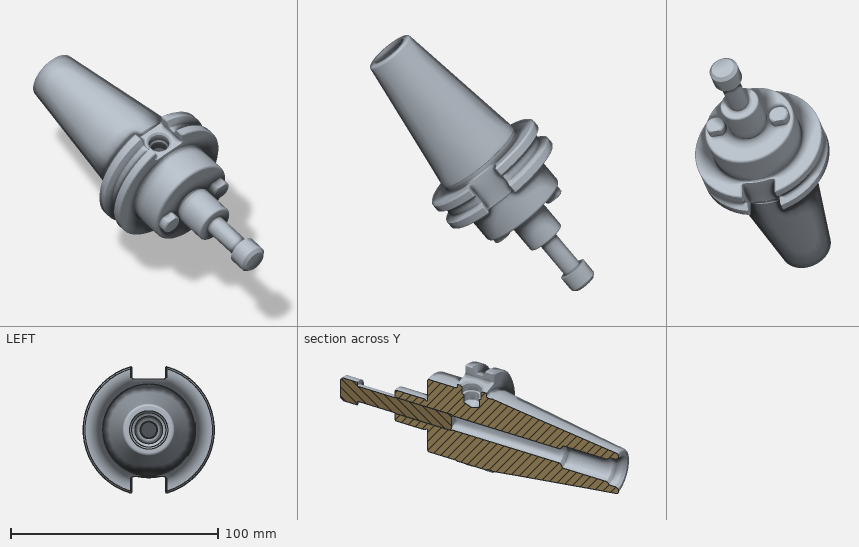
import cadquery as cq
import math

OVERALL_LENGTH = 150.3

GAUGE_X = 68.2
GAUGE_DIAMETER = 44.5
TAPER_RATIO = 7 / 24
SMALL_END_DIAMETER = GAUGE_DIAMETER - TAPER_RATIO * GAUGE_X
SMALL_END_ROUND = 1.4
NECK_DIAMETER = 43.9
NECK_STEP = (GAUGE_DIAMETER - NECK_DIAMETER) / 2

FLANGE_REAR_X = 71.2
FLANGE_WIDTH = 15.8
FLANGE_FRONT_X = FLANGE_REAR_X + FLANGE_WIDTH
FLANGE_DIAMETER = 63.4
FLANGE_REAR_CHAMFER = 0.9
FLANGE_FRONT_CHAMFER = 0.5
FLANGE_REAR_FILLET = 0.8
FLANGE_FRONT_FILLET = 0.9
GROOVE_X = 79.3
GROOVE_FLOOR_DIAMETER = 56.5
GROOVE_FLOOR_WIDTH = 3.8
GROOVE_MOUTH_WIDTH = 7.4

SLOT_WIDTH = 16.2
UPPER_SLOT_FLOOR_Z = 24.6
LOWER_SLOT_FLOOR_Z = -22.5
SLOT_EDGE_CHAMFER = 0.6
SLOT_FLARE = 2.3
SLOT_FLOOR_FILLET = 0.8

SLOT_HOLE_MOUTH_DIAMETER = 11.9
SLOT_HOLE_DIAMETER = 10.0
SLOT_HOLE_DEPTH = 5.0
SLOT_DRILL_DIAMETER = 8.0
SLOT_DRILL_DEPTH = 9.9
SLOT_DRILL_POINT_ANGLE = 135.0

BODY_DIAMETER = 44.5
BODY_FRONT_X = 103.2
BODY_ROUND = 1.2
PILOT_DIAMETER = 19.1
PILOT_FRONT_X = 120.8
PILOT_ROUND = 0.9
RELIEF_DIAMETER = 17.6
RELIEF_WIDTH = 0.8
RELIEF_DEPTH = (PILOT_DIAMETER - RELIEF_DIAMETER) / 2

BORE_MOUTH_DIAMETER = 18.5
BORE_MOUTH_DEPTH = 1.7
BORE_DIAMETER = 16.5
BORE_DEPTH = 4.8
BORE_DRILL_DIAMETER = 13.4
BORE_DRILL_DEPTH = 30.0
BORE_DRILL_POINT_ANGLE = 118.0
THROUGH_HOLE_DIAMETER = 8.4

SCREW_DIAMETER = 9.5
SCREW_TIP_X = 90.2
SCREW_TIP_DIAMETER = 7.7
SCREW_HEAD_DIAMETER = 14.1
SCREW_HEAD_LENGTH = 9.5
SCREW_HEAD_END_DIAMETER = 11.0

PIN_DIAMETER = 9.5
PIN_FLAT_WIDTH = 8.0
PIN_HEIGHT = 4.4
PIN_CHAMFER = 0.6
PIN_OFFSET_Y = 15.8

EDGE_TOLERANCE = 0.08


def cone_length(large_diameter, small_diameter, included_angle):
    """Length of a cone between two diameters."""
    return (large_diameter - small_diameter) / 2 / math.tan(math.radians(included_angle / 2))


def turned(points):
    """Solid of revolution about X from (x, diameter) points, closed along the axis."""
    first_x = points[0][0]
    last_x = points[-1][0]
    outline = [(first_x, 0)] + [(x, diameter / 2) for x, diameter in points]
    if points[-1][1] > 0:
        outline.append((last_x, 0))
    return cq.Workplane("XY").polyline(outline).close().revolve(360, (0, 0), (1, 0))


def ring_at(x, diameter):
    """Selector for the one circular edge of this diameter at x, centred on the axis."""
    near = diameter / 2 - EDGE_TOLERANCE
    far = diameter / 2 + EDGE_TOLERANCE
    rear_x = x - EDGE_TOLERANCE
    front_x = x + EDGE_TOLERANCE
    outer = cq.selectors.BoxSelector((rear_x, -far, -far), (front_x, far, far), boundingbox=True)
    inner = cq.selectors.BoxSelector((rear_x, -near, -near), (front_x, near, near), boundingbox=True)
    return outer - inner


def make_turned_holder():
    """Outside of the holder: taper, neck, grooved flange, body and pilot."""
    half_mouth = GROOVE_MOUTH_WIDTH / 2
    half_floor = GROOVE_FLOOR_WIDTH / 2
    holder = turned([
        (0, SMALL_END_DIAMETER),
        (GAUGE_X, GAUGE_DIAMETER),
        (GAUGE_X + NECK_STEP, NECK_DIAMETER),
        (FLANGE_REAR_X, NECK_DIAMETER),
        (FLANGE_REAR_X, FLANGE_DIAMETER - 2 * FLANGE_REAR_CHAMFER),
        (FLANGE_REAR_X + FLANGE_REAR_CHAMFER, FLANGE_DIAMETER),
        (GROOVE_X - half_mouth, FLANGE_DIAMETER),
        (GROOVE_X - half_floor, GROOVE_FLOOR_DIAMETER),
        (GROOVE_X + half_floor, GROOVE_FLOOR_DIAMETER),
        (GROOVE_X + half_mouth, FLANGE_DIAMETER),
        (FLANGE_FRONT_X - FLANGE_FRONT_CHAMFER, FLANGE_DIAMETER),
        (FLANGE_FRONT_X, FLANGE_DIAMETER - 2 * FLANGE_FRONT_CHAMFER),
        (FLANGE_FRONT_X, BODY_DIAMETER),
        (BODY_FRONT_X, BODY_DIAMETER),
        (BODY_FRONT_X, RELIEF_DIAMETER),
        (BODY_FRONT_X + RELIEF_WIDTH, RELIEF_DIAMETER),
        (BODY_FRONT_X + RELIEF_WIDTH + RELIEF_DEPTH, PILOT_DIAMETER),
        (PILOT_FRONT_X, PILOT_DIAMETER),
    ])
    holder = holder.edges(ring_at(0, SMALL_END_DIAMETER)).fillet(SMALL_END_ROUND)
    holder = holder.edges(ring_at(FLANGE_REAR_X, NECK_DIAMETER)).fillet(FLANGE_REAR_FILLET)
    holder = holder.edges(ring_at(FLANGE_FRONT_X, BODY_DIAMETER)).fillet(FLANGE_FRONT_FILLET)
    holder = holder.edges(ring_at(BODY_FRONT_X, BODY_DIAMETER)).fillet(BODY_ROUND)
    return holder.edges(ring_at(PILOT_FRONT_X, PILOT_DIAMETER)).fillet(PILOT_ROUND)


def flared_outline(plane, base, flare_start):
    """Symmetric slot outline: straight walls from base to flare_start, then opening out at 45 degrees."""
    half_width = SLOT_WIDTH / 2
    right_side = [
        (half_width, base),
        (half_width, flare_start),
        (half_width + SLOT_FLARE, flare_start + SLOT_FLARE),
    ]
    left_side = [(-across, along) for across, along in reversed(right_side)]
    return cq.Workplane(plane).polyline(right_side + left_side).close()


def make_drive_slot(floor_z):
    """Cutter for one slot: filleted floor corners and chamfered rim and end edges."""
    floor_height = abs(floor_z)
    rim_z = math.sqrt((FLANGE_DIAMETER / 2) ** 2 - (SLOT_WIDTH / 2) ** 2)
    slot = (
        flared_outline("YZ", floor_height, rim_z - SLOT_EDGE_CHAMFER)
        .extrude(FLANGE_WIDTH)
        .edges("|X and <Z")
        .fillet(SLOT_FLOOR_FILLET)
        .translate((FLANGE_REAR_X, 0, 0))
    )
    middle_x = FLANGE_REAR_X + FLANGE_WIDTH / 2
    wall_base_z = floor_height + SLOT_FLOOR_FILLET
    end_flare = (
        flared_outline("XY", 0, FLANGE_WIDTH / 2 - SLOT_EDGE_CHAMFER)
        .extrude(FLANGE_DIAMETER / 2 - wall_base_z)
        .translate((0, 0, wall_base_z))
    )
    for turn in (-90, 90):
        slot = slot.union(end_flare.rotate((0, 0, 0), (0, 0, 1), turn).translate((middle_x, 0, 0)))
    return slot if floor_z > 0 else slot.rotate((0, 0, 0), (1, 0, 0), 180)


def make_slot_hole():
    """Cutter for the stepped hole that runs down from the upper slot floor."""
    mouth_depth = (SLOT_HOLE_MOUTH_DIAMETER - SLOT_HOLE_DIAMETER) / 2
    point_length = cone_length(SLOT_DRILL_DIAMETER, 0, SLOT_DRILL_POINT_ANGLE)
    cutter = turned([
        (0, SLOT_HOLE_MOUTH_DIAMETER),
        (mouth_depth, SLOT_HOLE_DIAMETER),
        (SLOT_HOLE_DEPTH, SLOT_HOLE_DIAMETER),
        (SLOT_HOLE_DEPTH, SLOT_DRILL_DIAMETER),
        (SLOT_DRILL_DEPTH, SLOT_DRILL_DIAMETER),
        (SLOT_DRILL_DEPTH + point_length, 0),
    ])
    return cutter.rotate((0, 0, 0), (0, 1, 0), 90).translate((GROOVE_X, 0, UPPER_SLOT_FLOOR_Z))


def make_bore():
    """Cutter for the rear bore, the through hole and the screw hole."""
    step_length = (BORE_DIAMETER - BORE_DRILL_DIAMETER) / 2
    point_length = cone_length(BORE_DRILL_DIAMETER, THROUGH_HOLE_DIAMETER, BORE_DRILL_POINT_ANGLE)
    return turned([
        (0, BORE_MOUTH_DIAMETER),
        (BORE_MOUTH_DEPTH, BORE_DIAMETER),
        (BORE_DEPTH, BORE_DIAMETER),
        (BORE_DEPTH + step_length, BORE_DRILL_DIAMETER),
        (BORE_DRILL_DEPTH, BORE_DRILL_DIAMETER),
        (BORE_DRILL_DEPTH + point_length, THROUGH_HOLE_DIAMETER),
        (SCREW_TIP_X, THROUGH_HOLE_DIAMETER),
        (SCREW_TIP_X, SCREW_DIAMETER),
        (PILOT_FRONT_X, SCREW_DIAMETER),
    ])


def make_holder():
    """Turned holder with its two drive slots, slot hole and bore."""
    holder = make_turned_holder()
    for floor_z in (UPPER_SLOT_FLOOR_Z, LOWER_SLOT_FLOOR_Z):
        holder = holder.cut(make_drive_slot(floor_z))
    return holder.cut(make_slot_hole()).cut(make_bore())


def make_screw():
    """Clamp screw with a chamfered tip and a chamfered cylindrical head."""
    tip_chamfer = (SCREW_DIAMETER - SCREW_TIP_DIAMETER) / 2
    head_chamfer = (SCREW_HEAD_DIAMETER - SCREW_HEAD_END_DIAMETER) / 2
    head_x = OVERALL_LENGTH - SCREW_HEAD_LENGTH
    return turned([
        (SCREW_TIP_X, SCREW_TIP_DIAMETER),
        (SCREW_TIP_X + tip_chamfer, SCREW_DIAMETER),
        (head_x, SCREW_DIAMETER),
        (head_x, SCREW_HEAD_DIAMETER),
        (OVERALL_LENGTH - head_chamfer, SCREW_HEAD_DIAMETER),
        (OVERALL_LENGTH, SCREW_HEAD_END_DIAMETER),
    ])


def make_drive_pin(y):
    """Chamfered round head, narrowed in Z by two flats."""
    head = turned([
        (0, PIN_DIAMETER),
        (PIN_HEIGHT - PIN_CHAMFER, PIN_DIAMETER),
        (PIN_HEIGHT, PIN_DIAMETER - 2 * PIN_CHAMFER),
    ])
    between_flats = cq.Workplane("XY").box(2 * PIN_HEIGHT, PIN_DIAMETER, PIN_FLAT_WIDTH)
    return head.intersect(between_flats).translate((BODY_FRONT_X, y, 0))


holder = make_holder()
screw = make_screw()
drive_pins = [make_drive_pin(side * PIN_OFFSET_Y) for side in (-1, 1)]

result = cq.Compound.makeCompound([holder.val(), screw.val(), *[pin.val() for pin in drive_pins]])